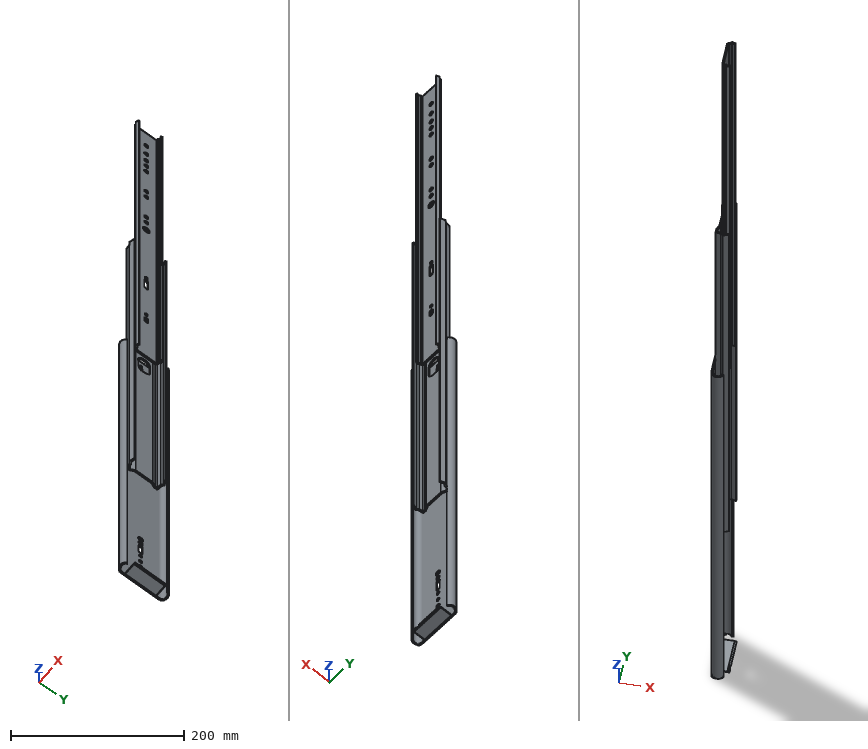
import cadquery as cq
import math


OVERALL_DEPTH = 20.5
OVERALL_WIDTH = 69.75
OVERALL_LENGTH = 1112.8
SHEET = 2.0
CUT_DEPTH = 50.0

OUTER_BOTTOM = 1.5
OUTER_TOP = 558.0
RACE_RADIUS = 8.0
RACE_Y = OVERALL_WIDTH / 2 - RACE_RADIUS
RACE_LIP_ANGLE = math.radians(24)
TAB_X_END = 6.5
TAB_Y_INNER = 30.6
TAB_Y_OUTER = 33.0
OUTER_WINDOW_BOTTOM = 450.5
OUTER_WINDOW_TOP = 461.5
OUTER_WINDOW_HALF_WIDTH = 15.0
OUTER_WINDOW_EAR_GAP = 14.0
OUTER_EAR_DEPTH = 3.5

MIDDLE_BOTTOM = 263.0
MIDDLE_TOP = 809.5
MIDDLE_FRONT_X = 4.0
MIDDLE_WEB_X = 6.5
MIDDLE_BACK_X = 20.2
MIDDLE_STEP_START_X = 10.6
MIDDLE_STEP_END_X = 13.4
MIDDLE_WEB_HALF_WIDTH = 12.0
MIDDLE_LOBE_INNER_Y = 18.0
MIDDLE_LOBE_OUTER_Y = 22.8
MIDDLE_STEP_Y = 23.6
MIDDLE_HALF_WIDTH = 25.7
MIDDLE_FLANGE_END_Y = 23.7
MIDDLE_WINDOW_BOTTOM = 800.0
MIDDLE_WINDOW_TOP = 806.5
MIDDLE_WINDOW_HALF_WIDTH = 10.0
MIDDLE_WINDOW_EAR_GAP = 7.0
MIDDLE_EAR_DEPTH = SHEET
MIDDLE_OPENING_WIDTH = 18.0
BOX_OPENING = (724.0, 757.0)
BOX_OPENING_CORNER = 5.0
ROUND_OPENING = (635.0, 672.5)
LOCK_OPENING = (522.0, 554.0)

INNER_BOTTOM = 556.0
INNER_FRONT_X = 10.5
INNER_BACK_X = 20.2
INNER_SHOULDER_X = 12.6
INNER_STEP_START_X = 14.4
INNER_STEP_END_X = 16.0
INNER_WEB_HALF_WIDTH = 15.0
INNER_SHOULDER_Y = 17.0
INNER_HALF_WIDTH = 18.8
INNER_FLANGE_END_Y = 17.6

STOP_TOP = 3.2
STOP_HALF_WIDTH = 23.0
STOP_NOTCH_TOP_Y = -12.5
STOP_FOOT_TOP_Y = -16.7
STOP_FOOT_BOTTOM_Y = -20.0
STOP_NOTCH_DEPTH = 1.0
STOP_LEDGE_X = 18.0
STOP_LEDGE_TOP = 2.4

SMALL_HOLE = 4.5
SCREW_HOLE = 6.0
LARGE_HOLE = 7.2
INNER_LARGE_HOLE = 10.0
SLOT_WIDTH = 6.0

OUTER_SMALL_HOLES = [60.3, 73.7, 482.7, 499.5, 509.5, 546.4]
OUTER_SCREW_HOLES = [31.8, 105.6, 471.0, 527.9]
OUTER_LARGE_HOLES = [115.6, 517.9]
OUTER_SLOTS = [(40.8, 49.8), (80.5, 100.5), (533.0, 543.2)]

INNER_SMALL_HOLES = [660.3, 751.0]
INNER_SCREW_HOLES = [889.9, 903.3, 953.6, 967.0, 1017.3, 1030.7, 1044.2, 1060.9, 1081.0]
INNER_LARGE_HOLES = [871.5]
INNER_SLOTS = [(641.5, 652.0), (724.5, 745.5)]


def block(x_range, y_range, z_range):
    """Box spanning the given ranges."""
    sizes = [high - low for low, high in (x_range, y_range, z_range)]
    corner = (x_range[0], y_range[0], z_range[0])
    return cq.Workplane("XY").box(*sizes, centered=False).translate(corner)


def drill(rail, heights, diameter):
    """Round holes through the web, on the rail's centre line."""
    points = [(0, z) for z in heights]
    cutter = cq.Workplane("YZ").pushPoints(points).circle(diameter / 2).extrude(CUT_DEPTH)
    return rail.cut(cutter)


def cut_slots(rail, spans, width):
    """Round-ended slots along Z through the web, given as (bottom, top)."""
    for bottom, top in spans:
        plane = cq.Workplane("YZ").center(0, (bottom + top) / 2)
        rail = rail.cut(plane.slot2D(top - bottom, width, 90).extrude(CUT_DEPTH))
    return rail


def cut_window(rail, half_width, bottom, top):
    """Rectangular window through the web."""
    return rail.cut(block((0, CUT_DEPTH), (-half_width, half_width), (bottom, top)))


def add_ears(rail, x_range, half_width, gap, z_range):
    """Two bent ears along one edge of a window, with a gap between them."""
    for y_range in ((-half_width, -gap / 2), (gap / 2, half_width)):
        rail = rail.union(block(x_range, y_range, z_range))
    return rail


def race_point(radius, angle, side):
    """Point on a ball race; angle turns from +X towards the outside."""
    x = RACE_RADIUS + radius * math.cos(angle)
    y = RACE_Y + radius * math.sin(angle)
    return (x, side * y)


def outer_profile():
    """Web and two curled ball races, as one closed outline."""
    inner_radius = RACE_RADIUS - SHEET
    crown = math.pi / 2
    return (
        cq.Workplane("XY")
        .moveTo(0, -RACE_Y)
        .lineTo(0, RACE_Y)
        .threePointArc(race_point(RACE_RADIUS, crown, 1), race_point(RACE_RADIUS, RACE_LIP_ANGLE, 1))
        .lineTo(*race_point(inner_radius, RACE_LIP_ANGLE, 1))
        .threePointArc(race_point(inner_radius, crown, 1), (SHEET, RACE_Y))
        .lineTo(SHEET, -RACE_Y)
        .threePointArc(race_point(inner_radius, crown, -1), race_point(inner_radius, RACE_LIP_ANGLE, -1))
        .lineTo(*race_point(RACE_RADIUS, RACE_LIP_ANGLE, -1))
        .threePointArc(race_point(RACE_RADIUS, crown, -1), (0, -RACE_Y))
        .close()
    )


def channel(half_path, bottom, top):
    """Bent sheet of constant thickness, symmetric about Y = 0.

    half_path is the front and outside surface on the +Y side, from the web to the flange end.
    """
    mirrored = [(x, -y) for x, y in reversed(half_path)]
    outside = mirrored + half_path
    normals = []
    for (x0, y0), (x1, y1) in zip(outside, outside[1:]):
        length = math.hypot(x1 - x0, y1 - y0)
        normals.append(((y1 - y0) / length, (x0 - x1) / length))
    inside = []
    for (x, y), before, after in zip(outside, normals[:1] + normals, normals + normals[-1:]):
        miter = SHEET / (1 + before[0] * after[0] + before[1] * after[1])
        inside.append((x + miter * (before[0] + after[0]), y + miter * (before[1] + after[1])))
    outline = outside + inside[::-1]
    return cq.Workplane("XY").workplane(offset=bottom).polyline(outline).close().extrude(top - bottom)


def make_outer_rail():
    rail = outer_profile().extrude(OUTER_TOP - OUTER_BOTTOM).translate((0, 0, OUTER_BOTTOM))
    end_strip = outer_profile().extrude(OUTER_BOTTOM)
    for y_range in ((TAB_Y_INNER, TAB_Y_OUTER), (-TAB_Y_OUTER, -TAB_Y_INNER)):
        tab = end_strip.intersect(block((0, TAB_X_END), y_range, (0, OUTER_BOTTOM)))
        rail = rail.union(tab)
    rail = cut_window(rail, OUTER_WINDOW_HALF_WIDTH, OUTER_WINDOW_BOTTOM, OUTER_WINDOW_TOP)
    ear_span = (OUTER_WINDOW_BOTTOM, OUTER_WINDOW_BOTTOM + SHEET)
    rail = add_ears(rail, (0, OUTER_EAR_DEPTH), OUTER_WINDOW_HALF_WIDTH, OUTER_WINDOW_EAR_GAP, ear_span)
    rail = drill(rail, OUTER_SMALL_HOLES, SMALL_HOLE)
    rail = drill(rail, OUTER_SCREW_HOLES, SCREW_HOLE)
    rail = drill(rail, OUTER_LARGE_HOLES, LARGE_HOLE)
    return cut_slots(rail, OUTER_SLOTS, SLOT_WIDTH)


def make_middle_rail():
    half_path = [
        (MIDDLE_WEB_X, MIDDLE_WEB_HALF_WIDTH),
        (MIDDLE_FRONT_X, MIDDLE_LOBE_INNER_Y),
        (MIDDLE_FRONT_X, MIDDLE_LOBE_OUTER_Y),
        (MIDDLE_STEP_START_X, MIDDLE_STEP_Y),
        (MIDDLE_STEP_END_X, MIDDLE_HALF_WIDTH),
        (MIDDLE_BACK_X, MIDDLE_FLANGE_END_Y),
    ]
    rail = channel(half_path, MIDDLE_BOTTOM, MIDDLE_TOP)
    rail = cut_window(rail, MIDDLE_WINDOW_HALF_WIDTH, MIDDLE_WINDOW_BOTTOM, MIDDLE_WINDOW_TOP)
    ear_x = (MIDDLE_WEB_X, MIDDLE_WEB_X + MIDDLE_EAR_DEPTH)
    ear_span = (MIDDLE_WINDOW_TOP - SHEET, MIDDLE_WINDOW_TOP)
    rail = add_ears(rail, ear_x, MIDDLE_WINDOW_HALF_WIDTH, MIDDLE_WINDOW_EAR_GAP, ear_span)
    half_opening = MIDDLE_OPENING_WIDTH / 2
    opening = block((0, CUT_DEPTH), (-half_opening, half_opening), BOX_OPENING)
    rail = rail.cut(opening.edges("|X").fillet(BOX_OPENING_CORNER))
    return cut_slots(rail, [ROUND_OPENING, LOCK_OPENING], MIDDLE_OPENING_WIDTH)


def make_inner_rail():
    half_path = [
        (INNER_FRONT_X, INNER_WEB_HALF_WIDTH),
        (INNER_SHOULDER_X, INNER_SHOULDER_Y),
        (INNER_STEP_START_X, INNER_SHOULDER_Y),
        (INNER_STEP_END_X, INNER_HALF_WIDTH),
        (INNER_BACK_X, INNER_FLANGE_END_Y),
    ]
    rail = channel(half_path, INNER_BOTTOM, OVERALL_LENGTH)
    rail = drill(rail, INNER_SMALL_HOLES, SMALL_HOLE)
    rail = drill(rail, INNER_SCREW_HOLES, SCREW_HOLE)
    rail = drill(rail, INNER_LARGE_HOLES, INNER_LARGE_HOLE)
    return cut_slots(rail, INNER_SLOTS, SLOT_WIDTH)


def make_end_stop():
    """Plate against the outer web, with a lower back ledge, an edge notch and a small foot."""
    notch_x = OVERALL_DEPTH - STOP_NOTCH_DEPTH
    full_width = (-STOP_HALF_WIDTH, STOP_HALF_WIDTH)
    plate = block((SHEET, STOP_LEDGE_X), full_width, (OUTER_BOTTOM, STOP_TOP))
    ledge = block((STOP_LEDGE_X, OVERALL_DEPTH), full_width, (OUTER_BOTTOM, STOP_LEDGE_TOP))
    notch = block((notch_x, OVERALL_DEPTH), (STOP_FOOT_TOP_Y, STOP_NOTCH_TOP_Y), (0, STOP_TOP))
    foot = block((notch_x, OVERALL_DEPTH), (STOP_FOOT_BOTTOM_Y, STOP_FOOT_TOP_Y), (0, STOP_LEDGE_TOP))
    return plate.union(ledge).cut(notch).union(foot)


outer_rail = make_outer_rail()
middle_rail = make_middle_rail()
inner_rail = make_inner_rail()
end_stop = make_end_stop()

result = cq.Compound.makeCompound(
    [outer_rail.val(), middle_rail.val(), inner_rail.val(), end_stop.val()]
)